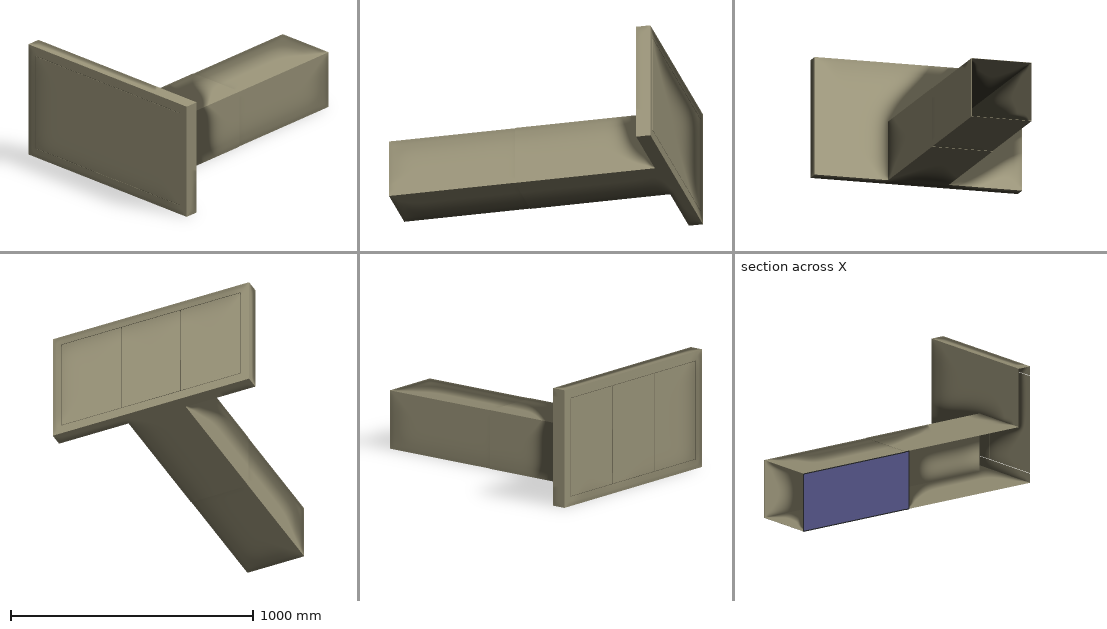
import cadquery as cq

sheet = 1

hood_width = 898
hood_depth = 60
hood_height = 500

opening_margin = 40
opening_width = hood_width - 2 * opening_margin
opening_height = hood_height - 2 * opening_margin
filter_count = 3
filter_gap = 2
filter_width = (opening_width - (filter_count + 1) * filter_gap) / filter_count
filter_height = opening_height - 2 * filter_gap
filter_pitch = filter_width + filter_gap

lamp_diameter = 30
lamp_spacing = 200
lamp_z = 22

overall_depth = 1190
lower_duct_width = 262
lower_duct_height = 250
lower_duct_length = 595
duct_overlap = 20
lower_duct_end = hood_depth + lower_duct_length
upper_duct_width = lower_duct_width - 2 * sheet
upper_duct_start = lower_duct_end - duct_overlap


def make_box(width, y_start, y_end, z_start, z_end):
    """Box centred on X = 0 between the given Y and Z limits."""
    block = cq.Workplane("XY").box(
        width, y_end - y_start, z_end - z_start, centered=(True, False, False)
    )
    return block.translate((0, y_start, z_start))


def make_duct(width, y_start, y_end, z_start, z_end):
    """Rectangular sheet metal tube along Y, open at both ends."""
    outside = make_box(width, y_start, y_end, z_start, z_end)
    bore = make_box(width - 2 * sheet, y_start, y_end, z_start + sheet, z_end - sheet)
    return outside.cut(bore)


def make_filter(x):
    """Flat filter plate, flush with the hood's front panel."""
    bottom = opening_margin + filter_gap
    plate = make_box(filter_width, 0, sheet, bottom, bottom + filter_height)
    return plate.translate((x, 0, 0))


def make_lamp(x):
    """Lamp disc as thick as the front panel it sits in."""
    return (
        cq.Workplane("XZ", origin=(x, 0, lamp_z))
        .circle(lamp_diameter / 2)
        .extrude(-sheet)
    )


def make_hood():
    """Hollow hood with the lower duct as part of it."""
    body = make_box(hood_width, 0, hood_depth, 0, hood_height)
    cavity = make_box(
        hood_width - 2 * sheet, sheet, hood_depth - sheet, sheet, hood_height - sheet
    )
    filter_opening = make_box(
        opening_width, 0, sheet, opening_margin, opening_margin + opening_height
    )
    duct_passage = make_box(
        lower_duct_width - 2 * sheet, hood_depth - sheet, hood_depth,
        sheet, lower_duct_height - sheet,
    )
    lower_duct = make_duct(lower_duct_width, hood_depth, lower_duct_end, 0, lower_duct_height)
    body = body.cut(cavity).cut(filter_opening).cut(duct_passage)
    return body.union(lower_duct)


filters = []
for index in range(filter_count):
    filter_x = (index - (filter_count - 1) / 2) * filter_pitch
    filters.append(make_filter(filter_x))

hood = make_hood()
lamps = []
for side in (-1, 1):
    lamp = make_lamp(side * lamp_spacing / 2)
    hood = hood.cut(lamp)
    lamps.append(lamp)

upper_duct = make_duct(
    upper_duct_width, upper_duct_start, overall_depth, sheet, lower_duct_height - sheet
)

result = cq.Compound.makeCompound(
    [
        hood.solids().val(),
        upper_duct.solids().val(),
        *[plate.val() for plate in filters],
        *[lamp.val() for lamp in lamps],
    ]
)